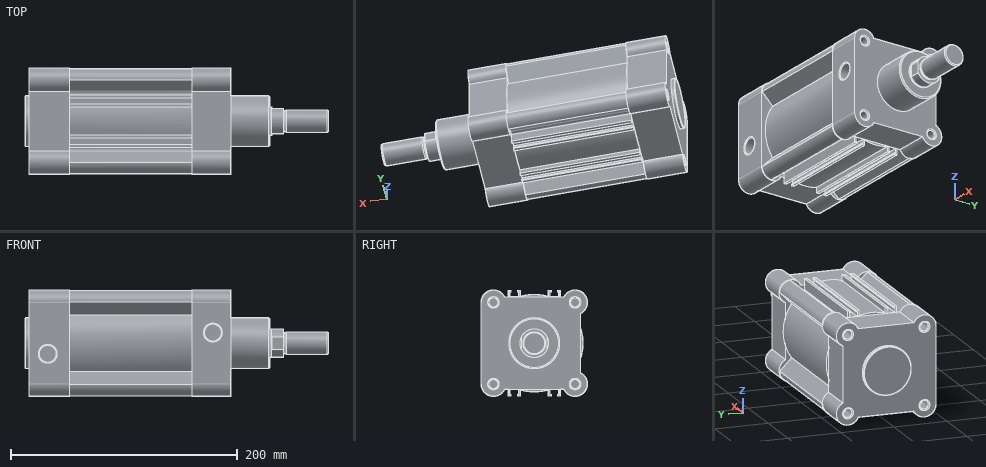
import cadquery as cq
import math

total_length = 268.0
rear_boss_length = 3.5
rear_cap_length = 35.6
barrel_length = 108.3
front_cap_length = 34.3
front_boss_length = 34.5
seal_lip_length = 1.3

rear_cap_start = rear_boss_length
barrel_start = rear_cap_start + rear_cap_length
front_cap_start = barrel_start + barrel_length
front_boss_start = front_cap_start + front_cap_length
boss_end = front_boss_start + front_boss_length
rod_start = boss_end + seal_lip_length

lobe_spacing = 72.0
lobe_offset = lobe_spacing / 2
cap_size = 94.0
cap_lobe_radius = cap_size / 2 - lobe_offset
cap_recess = 6.2
boss_radius = 22.5
rear_boss_chamfer = 0.5
front_boss_chamfer = 1.0

mount_hole_radius = 4.0
mount_hole_depth = 16.0
mount_hole_chamfer = 1.0

port_radius = 7.5
port_depth = 16.0
port_chamfer = 0.8
port_height = 9.5
rear_port_inset = 16.5
front_port_inset = 15.8

barrel_radius = 43.1
barrel_lobe_radius = 10.5
web_half_width = 7.2
web_fillet = 3.2

rail_center = 17.7
rail_width = 10.7
rail_wall = 1.5
rail_lip = 1.0
rail_lip_height = 1.3
rail_top = 46.5
rail_floor = 41.0

rod_diameter = 20.0
rod_radius = rod_diameter / 2
collar_length = 10.7
collar_radius = 12.5
collar_flat_width = 22.5
collar_rim = 0.5
neck_radius = 9.5
neck_length = 1.3
rod_chamfer_length = 1.3
rod_chamfer_depth = 0.8

lobe_centers = [(y, z) for y in (-lobe_offset, lobe_offset) for z in (-lobe_offset, lobe_offset)]


def section_at(x):
    """Workplane across the axis at x, with local axes Y and Z."""
    return cq.Workplane("YZ", origin=(x, 0, 0))


def box_section(x, length, y_min, y_max, z_min, z_max):
    """Bar along X with a rectangular section."""
    center = ((y_min + y_max) / 2, (z_min + z_max) / 2)
    return section_at(x).center(*center).rect(y_max - y_min, z_max - z_min).extrude(length)


def blind_hole(radius, depth, chamfer, start, direction):
    """Cutting body for a blind hole with a 45 degree countersink at its mouth."""
    hole = cq.Solid.makeCylinder(radius, depth, start, direction)
    mouth = cq.Solid.makeCone(radius + chamfer, radius, chamfer, start, direction)
    return cq.Workplane(hole.fuse(mouth))


def cap_block(start, length):
    """Square block with four round corner lobes and a flush front face."""
    half = cap_size / 2
    recessed = half - cap_recess
    block = box_section(start, length, -half, recessed, -lobe_offset, lobe_offset)
    block = block.union(box_section(start, length, -lobe_offset, recessed, -recessed, recessed))
    lobes = section_at(start).pushPoints(lobe_centers).circle(cap_lobe_radius).extrude(length)
    return block.union(lobes)


def cut_cap_holes(cap, end_face, inward, port_x, port_z):
    """Cut the four mounting holes in the end face and the air port in the front face."""
    for y, z in lobe_centers:
        hole = blind_hole(
            mount_hole_radius,
            mount_hole_depth,
            mount_hole_chamfer,
            cq.Vector(end_face, y, z),
            cq.Vector(inward, 0, 0),
        )
        cap = cap.cut(hole)
    port_start = cq.Vector(port_x, -cap_size / 2, port_z)
    port = blind_hole(port_radius, port_depth, port_chamfer, port_start, cq.Vector(0, 1, 0))
    return cap.cut(port)


def make_rear_cap():
    boss = section_at(0).circle(boss_radius).extrude(rear_boss_length)
    boss = boss.faces("<X").chamfer(rear_boss_chamfer)
    cap = cap_block(rear_cap_start, rear_cap_length).union(boss)
    port_x = rear_cap_start + rear_port_inset
    return cut_cap_holes(cap, rear_cap_start, 1, port_x, -port_height)


def make_front_cap():
    boss = section_at(front_boss_start).circle(boss_radius).extrude(front_boss_length)
    boss = boss.faces(">X").chamfer(front_boss_chamfer)
    seal_lip = section_at(boss_end).circle(collar_radius).extrude(seal_lip_length)
    cap = cap_block(front_cap_start, front_cap_length).union(boss).union(seal_lip)
    port_x = front_boss_start - front_port_inset
    return cut_cap_holes(cap, front_boss_start, -1, port_x, port_height)


def make_web():
    """Solid web along one diagonal, from the axis to its rounded outer end, laid along local Y."""
    lobe_reach = math.hypot(lobe_offset, lobe_offset)
    side_end = lobe_reach + math.sqrt(barrel_lobe_radius**2 - web_half_width**2)
    return (
        section_at(barrel_start)
        .moveTo(0, -web_half_width)
        .lineTo(side_end, -web_half_width)
        .threePointArc((lobe_reach + barrel_lobe_radius, 0), (side_end, web_half_width))
        .lineTo(0, web_half_width)
        .close()
        .extrude(barrel_length)
    )


def make_web_fillet():
    """Concave filler between the tube and the local +Z side of a web that lies along local Y."""
    center_z = web_half_width + web_fillet
    center_y = math.sqrt((barrel_radius + web_fillet) ** 2 - center_z**2)
    tube_angle = math.atan2(center_z, center_y)
    tube_point = (barrel_radius * math.cos(tube_angle), barrel_radius * math.sin(tube_angle))
    return (
        section_at(barrel_start)
        .moveTo(0, 0)
        .lineTo(center_y, web_half_width)
        .radiusArc(tube_point, web_fillet)
        .close()
        .extrude(barrel_length)
    )


def make_rail():
    """T-slot rail on top of the tube, on its +Y side."""
    inner = rail_center - rail_width / 2
    outer = rail_center + rail_width / 2
    rail = box_section(barrel_start, barrel_length, inner, outer, 0, rail_top)
    channel = box_section(
        barrel_start,
        barrel_length,
        inner + rail_wall,
        outer - rail_wall,
        rail_floor,
        rail_top - rail_lip_height,
    )
    opening = box_section(
        barrel_start,
        barrel_length,
        inner + rail_wall + rail_lip,
        outer - rail_wall - rail_lip,
        rail_floor,
        rail_top,
    )
    return rail.cut(channel).cut(opening)


def make_barrel():
    tube = section_at(barrel_start).circle(barrel_radius).extrude(barrel_length)
    quarter = make_web().union(make_web_fillet()).rotate((0, 0, 0), (1, 0, 0), 45)
    quarter = quarter.union(make_rail())
    top_half = quarter.union(quarter.mirror("XZ"))
    return tube.union(top_half).union(top_half.mirror("XY"))


def make_piston_rod():
    collar = section_at(rod_start).circle(collar_radius).extrude(collar_length)
    half = collar_flat_width / 2
    for y_min, y_max in ((half, collar_radius), (-collar_radius, -half)):
        collar = collar.cut(
            box_section(rod_start + collar_rim, collar_length, y_min, y_max, -collar_radius, collar_radius)
        )
    neck_start = rod_start + collar_length
    shank_start = neck_start + neck_length
    profile = [
        (neck_start, 0),
        (neck_start, neck_radius),
        (shank_start, neck_radius),
        (shank_start + rod_chamfer_length, rod_radius),
        (total_length - rod_chamfer_length, rod_radius),
        (total_length, rod_radius - rod_chamfer_depth),
        (total_length, 0),
    ]
    shank = cq.Workplane("XY").polyline(profile).close().revolve(360, (0, 0, 0), (1, 0, 0))
    return collar.union(shank)


rear_cap = make_rear_cap()
barrel = make_barrel()
front_cap = make_front_cap()
piston_rod = make_piston_rod()
result = cq.Compound.makeCompound([rear_cap.val(), barrel.val(), front_cap.val(), piston_rod.val()])